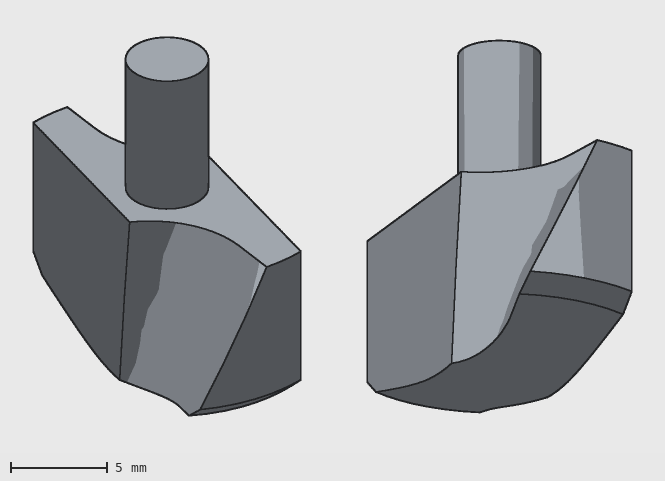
import cadquery as cq
import math

total_height = 19.1
head_top = 11.3
shank_diameter = 4.3
head_radius = 18.7 / 2
head_thickness = 6.57
corner_top = 3.48
corner_bottom = 2.55
cone_radius = 8.4

flute_rim_x = 9.28
flute_rim_y = 1.01
land_angle = math.radians(7.4)
land_length = 2.5
gullet_radius = 5.58
flute_twist = 22.9 * head_top / (head_top - corner_top)
cutter_reach = 2 * head_radius


def head_blank():
    """Pointed, bevelled round head, cut down to a flat-sided slab."""
    turned = (
        cq.Workplane("XZ")
        .polyline([
            (0, 0),
            (cone_radius, corner_bottom),
            (head_radius, corner_top),
            (head_radius, head_top),
            (0, head_top),
        ])
        .close()
        .revolve(360, (0, 0), (0, 1))
    )
    slab = cq.Workplane("XY").box(
        2 * cutter_reach, head_thickness, head_top, centered=(True, True, False)
    )
    return turned.intersect(slab)


def flute_cutter():
    """Twisted cutter for the flute on the +X, -Y side."""
    land_cos = math.cos(land_angle)
    land_sin = math.sin(land_angle)
    land_end = (flute_rim_x - land_length * land_cos, flute_rim_y - land_length * land_sin)
    center_x = land_end[0] + gullet_radius * land_sin
    center_y = land_end[1] - gullet_radius * land_cos
    arc_start = math.pi / 2 + land_angle
    arc_middle = (arc_start + math.pi) / 2
    gullet_middle = (
        center_x + gullet_radius * math.cos(arc_middle),
        center_y + gullet_radius * math.sin(arc_middle),
    )
    gullet_end = (center_x - gullet_radius, center_y)
    outer_rise = (cutter_reach - land_end[0]) * math.tan(land_angle)
    return (
        cq.Workplane("XY")
        .moveTo(cutter_reach, land_end[1] + outer_rise)
        .lineTo(*land_end)
        .threePointArc(gullet_middle, gullet_end)
        .lineTo(gullet_end[0], -cutter_reach)
        .lineTo(cutter_reach, -cutter_reach)
        .close()
        .twistExtrude(head_top, flute_twist)
        .rotate((0, 0, 0), (0, 0, 1), -flute_twist)
    )


head = head_blank()
cutter = flute_cutter()
for turn in (0, 180):
    head = head.cut(cutter.rotate((0, 0, 0), (0, 0, 1), turn))

shank = (
    cq.Workplane("XY", origin=(0, 0, head_top))
    .circle(shank_diameter / 2)
    .extrude(total_height - head_top)
)

result = head.union(shank)